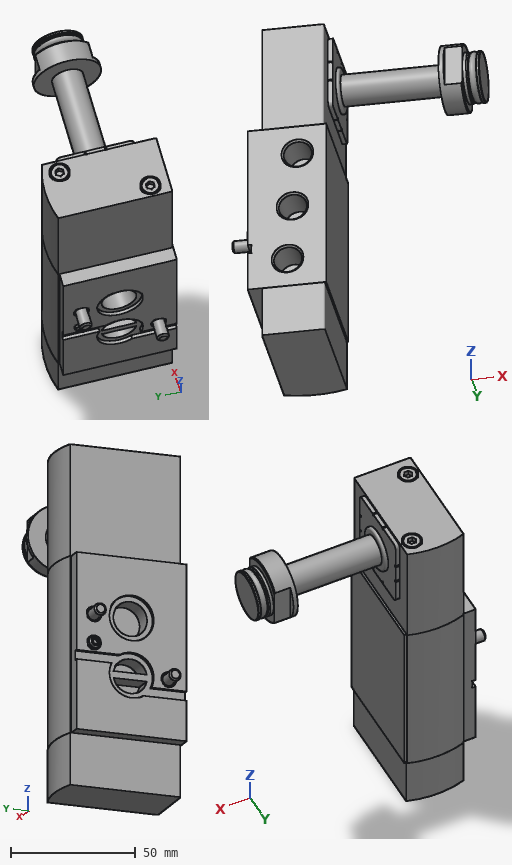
import cadquery as cq


TOTAL_HEIGHT = 143
BLOCK_BOTTOM = 21.9
BLOCK_HEIGHT = 74.2
BLOCK_TOP = BLOCK_BOTTOM + BLOCK_HEIGHT
BLOCK_MID_Z = BLOCK_BOTTOM + BLOCK_HEIGHT / 2

BLOCK_FRONT_Y = -25.2
BLOCK_WIDTH = 47.2
BLOCK_BACK_Y = BLOCK_FRONT_Y + BLOCK_WIDTH
BLOCK_MID_Y = BLOCK_FRONT_Y + BLOCK_WIDTH / 2
BLOCK_DEPTH = 32.0
CROWN_Y = 24.6
SHOULDER_Y = 22.6
SECTION_X = 5.7
PILOT_END_X = 31.0
CAP_END_X = 31.5
SECTION_FRONT_Y = BLOCK_FRONT_Y + 0.3
EDGE_RADIUS = 0.6

INTERFACE_PITCH_Z = 24.0
INTERFACE_PITCH_Y = 32.0
FLOW_PORT_DIAMETER = 14.5
FLOW_PORT_DEPTH = 10
SEAL_DIAMETER = 19.0
SEAL_DEPTH = 1.6
BAR_WIDTH = 2.9
SLOT_WIDTH = 3.9
SLOT_OFFSET = 6.1
PIN_DIAMETER = 5.0
PIN_LENGTH = 7.5
PIN_CHAMFER = 0.7
PIN_GAP_DIAMETER = 6.3
PIN_GAP_DEPTH = 0.7
KEY_DIAMETER = 5.0
KEY_LENGTH = 1.7
KEY_CHAMFER = 0.7
KEY_GAP_DIAMETER = 5.9
KEY_SOCKET_DIAMETER = 2.3
KEY_SOCKET_DEPTH = 1.5

PORT_DIAMETER = 11.5
PORT_MOUTH_DIAMETER = 13.0
PORT_DEPTH = 14.3
PORT_MID_X = 18.3
PORT_STEP_X = 2.0
PORT_STEP_Z = 24.5

SCREW_PLACES = [(10.7, -17.0), (25.9, 16.6)]
SCREW_RECESS_DIAMETER = 8.3
SCREW_HEAD_DIAMETER = 7.0
SCREW_GAP_DEPTH = 0.9
SOCKET_ACROSS_CORNERS = 3.7
SOCKET_DEPTH = 2.1

TUBE_Z = 126.1
PLATE_SIZE = 32.0
PLATE_THICKNESS = 1.9
PLATE_CORNER_RADIUS = 2.0
NOTCH_OFFSET = 4.3
NOTCH_WIDTH = 0.6
NOTCH_DEPTH = 0.7
WASHER_DIAMETER = 19.0
WASHER_THICKNESS = 1.5
WASHER_ROUND = 0.9
TUBE_DIAMETER = 13.0
COLLAR_START_X = 75.6
COLLAR_FLAT_START_X = 77.6
COLLAR_END_X = 84.8
COLLAR_DIAMETER = 28.0
COLLAR_ACROSS_FLATS = 22.0
COLLAR_CHAMFER = 0.5
NECK_DIAMETER = 21.0
GROOVE_START_X = 86.8
GROOVE_END_X = 90.2
TUBE_END_X = 91.7
NECK_CHAMFER = 0.6
TUBE_END_CHAMFER = 0.3
SEAL_RING_RADIUS = 1.6
GROOVE_DIAMETER = NECK_DIAMETER - 2 * SEAL_RING_RADIUS


def cylinder_x(x_start, x_end, diameter, y, z):
    """Cylinder along X between two stations."""
    return cq.Workplane("YZ", origin=(x_start, y, z)).circle(diameter / 2).extrude(x_end - x_start)


def crowned_prism(x_end, front_y, z_bottom, z_top):
    """Upright prism with a bulged +Y side."""
    mid_x = (SECTION_X + x_end) / 2
    return (
        cq.Workplane("XY", origin=(0, 0, z_bottom))
        .moveTo(SECTION_X, front_y)
        .lineTo(x_end, front_y)
        .lineTo(x_end, SHOULDER_Y)
        .threePointArc((mid_x, CROWN_Y), (SECTION_X, SHOULDER_Y))
        .close()
        .extrude(z_top - z_bottom)
    )


def section_body(x_end, z_bottom, z_top):
    """Crowned prism whose two -Y upright edges are rounded."""
    prism = crowned_prism(x_end, SECTION_FRONT_Y, z_bottom, z_top)
    return prism.faces("<Y").edges("|Z").fillet(EDGE_RADIUS)


def flow_port(z):
    return cylinder_x(0, FLOW_PORT_DEPTH, FLOW_PORT_DIAMETER, BLOCK_MID_Y, z)


def seal_recess(z):
    return cylinder_x(0, SEAL_DEPTH, SEAL_DIAMETER, BLOCK_MID_Y, z)


def vent_slot(y_edge, z):
    """Shallow slot from a side of the block to the middle of the lower seal recess."""
    length = abs(y_edge - BLOCK_MID_Y)
    y_center = (y_edge + BLOCK_MID_Y) / 2
    return cq.Workplane("XY").box(2 * SEAL_DEPTH, length, SLOT_WIDTH).translate((0, y_center, z))


def side_port(x, z):
    """Blind port on the -Y face with a conical mouth."""
    mouth = (PORT_MOUTH_DIAMETER - PORT_DIAMETER) / 2
    profile = [
        (0, 0),
        (PORT_MOUTH_DIAMETER / 2, 0),
        (PORT_DIAMETER / 2, mouth),
        (PORT_DIAMETER / 2, PORT_DEPTH),
        (0, PORT_DEPTH),
    ]
    port = cq.Workplane("XY").polyline(profile).close().revolve(360, (0, 0), (0, 1))
    return port.translate((x, BLOCK_FRONT_Y, z))


def stud(diameter, length, chamfer, gap_diameter, y, z):
    """Pin standing out of the interface face, and the ring recess around its root."""
    pin = cylinder_x(-length, PIN_GAP_DEPTH, diameter, y, z).faces("<X").chamfer(chamfer)
    gap = cylinder_x(0, PIN_GAP_DEPTH, gap_diameter, y, z)
    return pin, gap


def make_block():
    block = cq.Workplane("XY", origin=(0, BLOCK_FRONT_Y, BLOCK_BOTTOM)).box(
        BLOCK_DEPTH, BLOCK_WIDTH, BLOCK_HEIGHT, centered=False
    )
    block = block.union(crowned_prism(PILOT_END_X, BLOCK_FRONT_Y, BLOCK_BOTTOM, BLOCK_TOP))

    upper_z = BLOCK_MID_Z + INTERFACE_PITCH_Z / 2
    lower_z = BLOCK_MID_Z - INTERFACE_PITCH_Z / 2
    block = block.cut(seal_recess(upper_z)).cut(flow_port(upper_z))

    bar = cq.Workplane("XY").box(4 * FLOW_PORT_DEPTH, SEAL_DIAMETER, BAR_WIDTH)
    split_port = flow_port(lower_z).cut(bar.translate((0, BLOCK_MID_Y, lower_z)))
    block = block.cut(seal_recess(lower_z)).cut(split_port)
    block = block.cut(vent_slot(BLOCK_BACK_Y, lower_z + SLOT_OFFSET))
    block = block.cut(vent_slot(BLOCK_FRONT_Y, lower_z - SLOT_OFFSET))

    for step in (-1, 0, 1):
        block = block.cut(side_port(PORT_MID_X + step * PORT_STEP_X, BLOCK_MID_Z + step * PORT_STEP_Z))

    pin_back_y = BLOCK_MID_Y + INTERFACE_PITCH_Y / 2
    pin_front_y = BLOCK_MID_Y - INTERFACE_PITCH_Y / 2
    for y, z in ((pin_back_y, upper_z), (pin_front_y, lower_z)):
        pin, gap = stud(PIN_DIAMETER, PIN_LENGTH, PIN_CHAMFER, PIN_GAP_DIAMETER, y, z)
        block = block.cut(gap).union(pin)
    key, gap = stud(KEY_DIAMETER, KEY_LENGTH, KEY_CHAMFER, KEY_GAP_DIAMETER, pin_back_y, BLOCK_MID_Z)
    socket = cylinder_x(
        -KEY_LENGTH, KEY_SOCKET_DEPTH - KEY_LENGTH, KEY_SOCKET_DIAMETER, pin_back_y, BLOCK_MID_Z
    )
    return block.cut(gap).union(key.cut(socket))


def make_pilot_housing():
    housing = section_body(PILOT_END_X, BLOCK_TOP, TOTAL_HEIGHT)
    top = cq.Workplane("XY", origin=(0, 0, TOTAL_HEIGHT)).pushPoints(SCREW_PLACES)
    gap = top.circle(SCREW_RECESS_DIAMETER / 2).circle(SCREW_HEAD_DIAMETER / 2).extrude(-SCREW_GAP_DEPTH)
    socket = top.polygon(6, SOCKET_ACROSS_CORNERS).extrude(-SOCKET_DEPTH)
    return housing.cut(gap).cut(socket)


def make_end_cap():
    return section_body(CAP_END_X, 0, BLOCK_BOTTOM)


def make_plate():
    """Square mounting plate with rounded corners and two narrow notches in each side."""
    plate = (
        cq.Workplane("YZ", origin=(PILOT_END_X, 0, TUBE_Z))
        .rect(PLATE_SIZE, PLATE_SIZE)
        .extrude(PLATE_THICKNESS)
        .edges("|X")
        .fillet(PLATE_CORNER_RADIUS)
    )
    edge = PLATE_SIZE / 2
    for offset in (-NOTCH_OFFSET, NOTCH_OFFSET):
        for side in (-edge, edge):
            notches = cq.Workplane("YZ", origin=(PILOT_END_X, 0, TUBE_Z))
            upright = notches.center(offset, side).rect(NOTCH_WIDTH, 2 * NOTCH_DEPTH)
            plate = plate.cut(upright.extrude(PLATE_THICKNESS))
            level = notches.center(side, offset).rect(2 * NOTCH_DEPTH, NOTCH_WIDTH)
            plate = plate.cut(level.extrude(PLATE_THICKNESS))
    return plate


def make_collar():
    """Round collar with two flats facing -Y and +Y."""
    collar = cylinder_x(COLLAR_START_X, COLLAR_END_X, COLLAR_DIAMETER, 0, TUBE_Z)
    collar = collar.faces(">X").chamfer(COLLAR_CHAMFER)
    length = COLLAR_END_X - COLLAR_FLAT_START_X
    waste = cq.Workplane("YZ", origin=(COLLAR_FLAT_START_X, 0, TUBE_Z))
    waste = waste.rect(2 * COLLAR_DIAMETER, 2 * COLLAR_DIAMETER)
    waste = waste.rect(COLLAR_ACROSS_FLATS, 1.5 * COLLAR_DIAMETER).extrude(length)
    return collar.cut(waste)


def make_solenoid_tube():
    washer_start_x = PILOT_END_X + PLATE_THICKNESS
    washer_end_x = washer_start_x + WASHER_THICKNESS
    washer = cylinder_x(washer_start_x, washer_end_x, WASHER_DIAMETER, 0, TUBE_Z)
    washer = washer.faces(">X").fillet(WASHER_ROUND)
    tube = cylinder_x(washer_start_x, COLLAR_END_X, TUBE_DIAMETER, 0, TUBE_Z)

    neck = cylinder_x(COLLAR_END_X, GROOVE_START_X, NECK_DIAMETER, 0, TUBE_Z)
    neck = neck.faces(">X").chamfer(NECK_CHAMFER)
    groove = cylinder_x(GROOVE_START_X, GROOVE_END_X, GROOVE_DIAMETER, 0, TUBE_Z)
    end = cylinder_x(GROOVE_END_X, TUBE_END_X, NECK_DIAMETER, 0, TUBE_Z)
    end = end.faces("<X or >X").chamfer(TUBE_END_CHAMFER)
    ring = cq.Workplane("XY").add(
        cq.Solid.makeTorus(
            GROOVE_DIAMETER / 2,
            SEAL_RING_RADIUS,
            cq.Vector((GROOVE_START_X + GROOVE_END_X) / 2, 0, TUBE_Z),
            cq.Vector(1, 0, 0),
        )
    )

    body = make_plate()
    for piece in (washer, tube, make_collar(), neck, groove, end, ring):
        body = body.union(piece)
    return body


block = make_block()
pilot_housing = make_pilot_housing()
end_cap = make_end_cap()
solenoid_tube = make_solenoid_tube()

result = cq.Compound.makeCompound(
    [block.val(), pilot_housing.val(), end_cap.val(), solenoid_tube.val()]
)